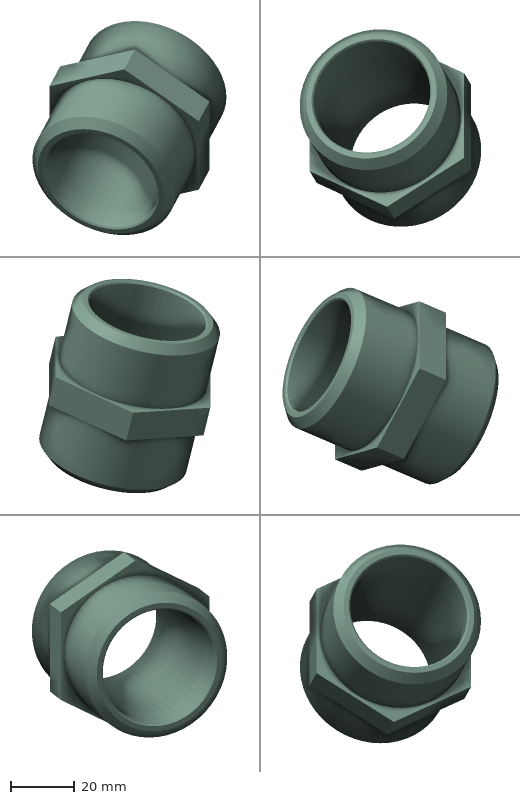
import cadquery as cq
import math

length = 54.0
body_diameter = 47.8
end_chamfer = 2.8

bore_diameter = 37.8
bore_chamfer = 0.5

hex_sides = 6
hex_across_flats = 50.0
hex_width = 10.0
hex_across_corners = hex_across_flats / math.cos(math.pi / hex_sides)


def make_body():
    """Cylinder with a chamfer around both ends."""
    body = cq.Workplane("XZ").circle(body_diameter / 2).extrude(length / 2, both=True)
    return body.faces("<Y or >Y").edges().chamfer(end_chamfer)


def make_hex_collar():
    """Central hexagon with flats facing +X and -X and corners on the Z axis."""
    collar = cq.Workplane("XZ").polygon(hex_sides, hex_across_corners).extrude(hex_width / 2, both=True)
    return collar.rotate((0, 0, 0), (0, 1, 0), 90)


def make_bore():
    """Through bore that widens in a small chamfer at both ends."""
    half_length = length / 2
    bore_radius = bore_diameter / 2
    mouth_radius = bore_radius + bore_chamfer
    chamfer_start = half_length - bore_chamfer
    half_section = (
        cq.Workplane("XY")
        .moveTo(0, -half_length)
        .lineTo(mouth_radius, -half_length)
        .lineTo(bore_radius, -chamfer_start)
        .lineTo(bore_radius, chamfer_start)
        .lineTo(mouth_radius, half_length)
        .lineTo(0, half_length)
        .close()
    )
    return half_section.revolve(360, (0, 0, 0), (0, 1, 0))


result = make_body().union(make_hex_collar()).cut(make_bore())